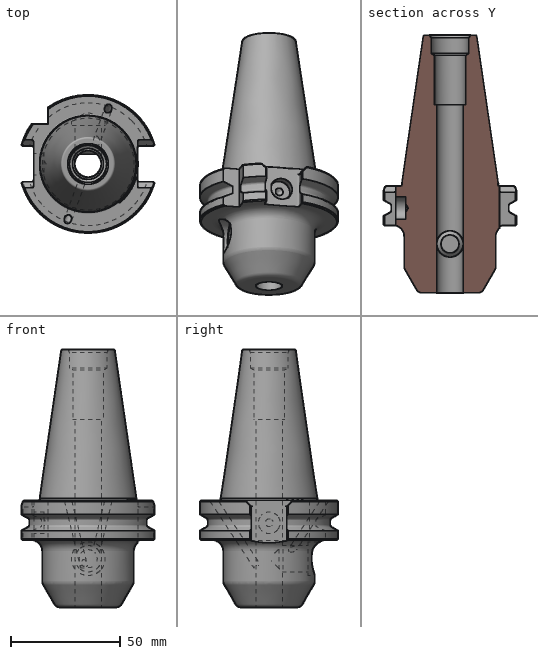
import cadquery as cq
import math


TOTAL_HEIGHT = 118.2
GAUGE_Z = 50.0
FLANGE_TOP_Z = 49.1
FLANGE_BOTTOM_Z = 30.9
GROOVE_Z = 38.9
CONE_START_Z = 11.2
SCREW_Z = 22.5

GAUGE_RADIUS = 22.2
TAPER_SLOPE = 7 / 48
NECK_RADIUS = 22.0
TAPER_END_FILLET = 1.0

FLANGE_RADIUS = 31.7
FLANGE_CHAMFER = 0.6
GROOVE_FLOOR_RADIUS = 28.1
GROOVE_FLOOR_WIDTH = 3.3
GROOVE_WALL_ANGLE = 30.0
GROOVE_FILLET = 1.0

NOSE_RADIUS = 21.0
NOSE_ROOT_FILLET = 5.0
NOSE_CONE_ANGLE = 30.0
NOSE_EDGE_FILLET = 3.0

COUNTERBORE_RADIUS = 8.5
COUNTERBORE_DEPTH = 8.5
MOUTH_RADIUS = 9.3
MOUTH_ANGLE = 30.0
THREAD_RADIUS = 7.1
THREAD_DEPTH = 31.9
SEAT_ANGLE = 30.0
TOOL_BORE_RADIUS = 6.0

SLOT_FLOOR_LEFT = 25.0
SLOT_FLOOR_RIGHT = 22.7
SLOT_WIDTH = 16.3
SLOT_TOP_FLARE = 2.8
SLOT_FILLET = 0.7
SLOT_RIM_CHAMFER = 0.6
NOTCH_CORNER = 18.3

POCKET_RADIUS = 5.0
POCKET_DEPTH = 4.6
MARK_RADIUS = 1.8
MARK_HALF_ANGLE = 59.0

COOLANT_RADIUS = 1.7
COOLANT_PLACE_RADIUS = 27.0
COOLANT_TILT = 35.0
COOLANT_BEARINGS = (70.0, 250.0)

SCREW_RADIUS = 6.0
SCREW_HEAD_Y = 17.7
SCREW_TIP_Y = 4.4
SCREW_TIP_RADIUS = 4.1
SCREW_RECESS_RADIUS = 7.7


def tangent(degrees):
    return math.tan(math.radians(degrees))


def ring_edges(body, radius, z):
    """The circular edges of a body that have this radius and height."""
    def matches(edge):
        return (
            edge.geomType() == "CIRCLE"
            and abs(edge.radius() - radius) < 0.01
            and abs(edge.Center().z - z) < 0.01
        )

    return body.newObject([edge for edge in body.edges().vals() if matches(edge)])


def turned_blank():
    """The solid of revolution, with its rounded and bevelled edges."""
    top_radius = GAUGE_RADIUS - (TOTAL_HEIGHT - GAUGE_Z) * TAPER_SLOPE
    nose_end_radius = NOSE_RADIUS - CONE_START_Z * tangent(NOSE_CONE_ANGLE)
    floor_top = GROOVE_Z + GROOVE_FLOOR_WIDTH / 2
    floor_bottom = GROOVE_Z - GROOVE_FLOOR_WIDTH / 2
    wall_rise = (FLANGE_RADIUS - GROOVE_FLOOR_RADIUS) * tangent(GROOVE_WALL_ANGLE)
    neck_fillet = GAUGE_Z - FLANGE_TOP_Z
    blank = (
        cq.Workplane("XZ")
        .moveTo(0, 0)
        .lineTo(nose_end_radius, 0)
        .lineTo(NOSE_RADIUS, CONE_START_Z)
        .lineTo(NOSE_RADIUS, FLANGE_BOTTOM_Z)
        .lineTo(FLANGE_RADIUS, FLANGE_BOTTOM_Z)
        .lineTo(FLANGE_RADIUS, floor_bottom - wall_rise)
        .lineTo(GROOVE_FLOOR_RADIUS, floor_bottom)
        .lineTo(GROOVE_FLOOR_RADIUS, floor_top)
        .lineTo(FLANGE_RADIUS, floor_top + wall_rise)
        .lineTo(FLANGE_RADIUS, FLANGE_TOP_Z)
        .lineTo(NECK_RADIUS + neck_fillet, FLANGE_TOP_Z)
        .radiusArc((NECK_RADIUS, GAUGE_Z), neck_fillet)
        .lineTo(GAUGE_RADIUS, GAUGE_Z)
        .lineTo(top_radius, TOTAL_HEIGHT)
        .lineTo(0, TOTAL_HEIGHT)
        .close()
        .revolve(360, (0, 0), (0, 1))
    )
    blank = ring_edges(blank, nose_end_radius, 0).fillet(NOSE_EDGE_FILLET)
    blank = ring_edges(blank, NOSE_RADIUS, CONE_START_Z).fillet(NOSE_EDGE_FILLET)
    blank = ring_edges(blank, NOSE_RADIUS, FLANGE_BOTTOM_Z).fillet(NOSE_ROOT_FILLET)
    blank = ring_edges(blank, GROOVE_FLOOR_RADIUS, floor_bottom).fillet(GROOVE_FILLET)
    blank = ring_edges(blank, GROOVE_FLOOR_RADIUS, floor_top).fillet(GROOVE_FILLET)
    blank = ring_edges(blank, FLANGE_RADIUS, FLANGE_BOTTOM_Z).chamfer(FLANGE_CHAMFER)
    blank = ring_edges(blank, FLANGE_RADIUS, FLANGE_TOP_Z).chamfer(FLANGE_CHAMFER)
    return ring_edges(blank, top_radius, TOTAL_HEIGHT).fillet(TAPER_END_FILLET)


def axial_bore():
    """Stepped bore: bevelled counterbore, conical seat, thread hole and tool bore."""
    counterbore_z = TOTAL_HEIGHT - COUNTERBORE_DEPTH
    seat_z = counterbore_z - (COUNTERBORE_RADIUS - THREAD_RADIUS) * tangent(SEAT_ANGLE)
    mouth_bevel_z = TOTAL_HEIGHT - (MOUTH_RADIUS - COUNTERBORE_RADIUS) / tangent(MOUTH_ANGLE)
    thread_end_z = TOTAL_HEIGHT - THREAD_DEPTH
    return (
        cq.Workplane("XZ")
        .moveTo(0, 0)
        .lineTo(TOOL_BORE_RADIUS, 0)
        .lineTo(TOOL_BORE_RADIUS, thread_end_z)
        .lineTo(THREAD_RADIUS, thread_end_z)
        .lineTo(THREAD_RADIUS, seat_z)
        .lineTo(COUNTERBORE_RADIUS, counterbore_z)
        .lineTo(COUNTERBORE_RADIUS, mouth_bevel_z)
        .lineTo(MOUTH_RADIUS, TOTAL_HEIGHT)
        .lineTo(0, TOTAL_HEIGHT)
        .close()
        .revolve(360, (0, 0), (0, 1))
    )


def drive_slot(floor_x):
    """Cutter for a drive slot at +X: flared at the top and rounded along the floor."""
    half_width = SLOT_WIDTH / 2
    flared_half_width = half_width + SLOT_TOP_FLARE
    cutter = (
        cq.Workplane("YZ", origin=(floor_x, 0, 0))
        .moveTo(-half_width, 0)
        .lineTo(half_width, 0)
        .lineTo(half_width, FLANGE_TOP_Z - SLOT_TOP_FLARE)
        .lineTo(flared_half_width, FLANGE_TOP_Z)
        .lineTo(-flared_half_width, FLANGE_TOP_Z)
        .lineTo(-half_width, FLANGE_TOP_Z - SLOT_TOP_FLARE)
        .close()
        .extrude(FLANGE_RADIUS)
    )
    cutter = cutter.faces("<X").edges("not |Y").fillet(SLOT_FILLET)

    bevel_end_y = half_width + SLOT_RIM_CHAMFER
    bevel_end_x = math.sqrt(FLANGE_RADIUS**2 - bevel_end_y**2)
    tip_x = bevel_end_x - bevel_end_y
    widening = (
        cq.Workplane("XY")
        .moveTo(tip_x + half_width, half_width)
        .lineTo(FLANGE_RADIUS, FLANGE_RADIUS - tip_x)
        .lineTo(FLANGE_RADIUS, tip_x - FLANGE_RADIUS)
        .lineTo(tip_x + half_width, -half_width)
        .close()
        .extrude(FLANGE_TOP_Z)
    )
    return cutter.union(widening)


def corner_notch():
    """Cutter for the square notch through the flange in the -X, +Y corner."""
    return (
        cq.Workplane("XY", origin=(-NOTCH_CORNER, NOTCH_CORNER, FLANGE_BOTTOM_Z))
        .rect(-FLANGE_RADIUS, FLANGE_RADIUS, centered=False)
        .extrude(FLANGE_TOP_Z - FLANGE_BOTTOM_Z)
    )


def slot_pocket():
    """Cutter for the round pocket and its centre mark, sunk in +X from the -X slot floor."""
    mark_depth = MARK_RADIUS / tangent(MARK_HALF_ANGLE)
    return (
        cq.Workplane("XY", origin=(-SLOT_FLOOR_LEFT, 0, GROOVE_Z))
        .lineTo(0, POCKET_RADIUS)
        .lineTo(POCKET_DEPTH, POCKET_RADIUS)
        .lineTo(POCKET_DEPTH, MARK_RADIUS)
        .lineTo(POCKET_DEPTH + mark_depth, 0)
        .close()
        .revolve(360, (0, 0), (1, 0))
    )


def coolant_hole(bearing):
    """Cutter for one coolant hole, leaning inward from the flange face to the tool bore."""
    tilt = math.radians(COOLANT_TILT)
    direction = cq.Vector(-math.sin(tilt), 0, -math.cos(tilt))
    mouth = cq.Vector(COOLANT_PLACE_RADIUS, 0, FLANGE_TOP_Z)
    length = (COOLANT_PLACE_RADIUS - TOOL_BORE_RADIUS) / math.sin(tilt)
    start = mouth - direction * COOLANT_RADIUS * 2
    hole = cq.Solid.makeCylinder(COOLANT_RADIUS, length + COOLANT_RADIUS * 2, start, direction)
    return hole.rotate(cq.Vector(0, 0, 0), cq.Vector(0, 0, 1), bearing)


def cylinder_along_y(radius, start_y, end_y):
    return (
        cq.Workplane("XZ", origin=(0, start_y, SCREW_Z))
        .circle(radius)
        .extrude(start_y - end_y)
    )


def holder_body():
    body = turned_blank().cut(axial_bore())
    body = body.cut(drive_slot(SLOT_FLOOR_RIGHT))
    body = body.cut(drive_slot(SLOT_FLOOR_LEFT).rotate((0, 0, 0), (0, 0, 1), 180))
    body = body.cut(corner_notch())
    body = body.cut(slot_pocket())
    for bearing in COOLANT_BEARINGS:
        body = body.cut(cq.Workplane(coolant_hole(bearing)))
    body = body.cut(cylinder_along_y(SCREW_RADIUS, 0, SCREW_HEAD_Y))
    body = body.cut(cylinder_along_y(SCREW_RECESS_RADIUS, SCREW_HEAD_Y, FLANGE_RADIUS))
    return body.solids()


def clamping_screw():
    """Screw whose bevelled, flat tip reaches into the tool bore."""
    screw = cylinder_along_y(SCREW_RADIUS, SCREW_TIP_Y, SCREW_HEAD_Y)
    return screw.faces("<Y").chamfer(SCREW_RADIUS - SCREW_TIP_RADIUS)


holder = holder_body()
screw = clamping_screw()

result = cq.Compound.makeCompound([holder.val(), screw.val()])